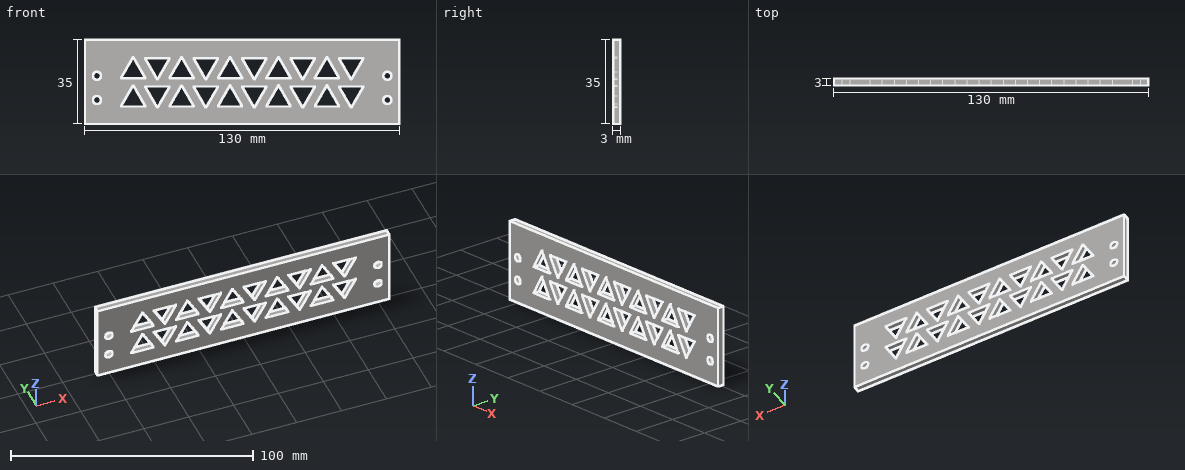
import cadquery as cq
import math

length = 130.0
thickness = 3.0
height = 35.0

hole_diameter = 3.2
hole_spacing_x = 120.0
hole_spacing_z = 10.0
hole_center_z = -2.5

window_side = 10.0
window_height = window_side * math.sqrt(3) / 2
window_pitch = 10.0
windows_per_row = 10
inverted_drop = 0.5
row_gap = 3.0
row_spacing = window_height + row_gap
upper_row_base_z = 1.5
row_base_heights = (upper_row_base_z, upper_row_base_z - row_spacing)


def window_corners(center_x, base_z, points_up):
    """Corners of one triangle within a row that starts at base_z."""
    if points_up:
        flat_z = base_z
        tip_z = base_z + window_height
    else:
        tip_z = base_z - inverted_drop
        flat_z = tip_z + window_height
    return [
        (center_x - window_side / 2, flat_z),
        (center_x + window_side / 2, flat_z),
        (center_x, tip_z),
    ]


plate = cq.Workplane("XY").box(length, thickness, height)

holes = (
    cq.Workplane("XZ", origin=(0, 0, hole_center_z))
    .rarray(hole_spacing_x, hole_spacing_z, 2, 2)
    .circle(hole_diameter / 2)
    .extrude(thickness, both=True)
)
result = plate.cut(holes)

for base_z in row_base_heights:
    for index in range(windows_per_row):
        center_x = (index - (windows_per_row - 1) / 2) * window_pitch
        corners = window_corners(center_x, base_z, points_up=index % 2 == 0)
        window = cq.Workplane("XZ").polyline(corners).close().extrude(thickness, both=True)
        result = result.cut(window)